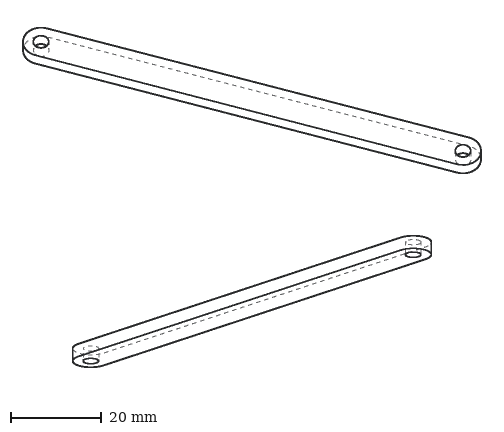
import cadquery as cq
import math

END_SPACING_X = 98.0
END_OFFSET_Y = 1.96
BAR_WIDTH = 8.0
THICKNESS = 3.0
HOLE_DIAMETER = 3.4

centre_distance = math.hypot(END_SPACING_X, END_OFFSET_Y)
tilt = math.degrees(math.atan2(END_OFFSET_Y, END_SPACING_X))


def make_bar():
    """Round-ended flat bar along X, resting on Z = 0."""
    return cq.Workplane("XY").slot2D(centre_distance + BAR_WIDTH, BAR_WIDTH).extrude(THICKNESS)


def drill_end_holes(bar):
    """Through hole concentric with each rounded end."""
    half = centre_distance / 2
    return bar.faces(">Z").workplane().pushPoints([(-half, 0), (half, 0)]).hole(HOLE_DIAMETER)


flat_bar = drill_end_holes(make_bar())
result = flat_bar.rotate((0, 0, 0), (0, 0, 1), tilt)